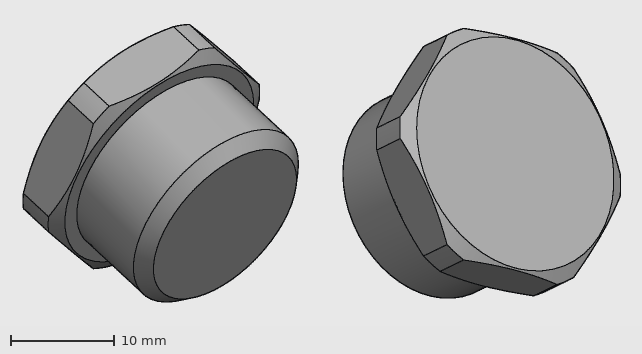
import cadquery as cq
import math

across_flats = 24.0
corner_diameter = 26.5
head_thickness = 5.48
face_diameter = 23.65
head_chamfer_angle = 30.0

total_length = 15.5
plug_diameter = 20.7
plug_chamfer = 1.38


def make_head():
    """Hexagon with flats on +Z and -Z, turned to rounded and chamfered corners."""
    sharp_corner_diameter = across_flats / math.cos(math.radians(30))
    hexagon = cq.Workplane("YZ").polygon(6, sharp_corner_diameter).extrude(head_thickness)

    corner_radius = corner_diameter / 2
    face_radius = face_diameter / 2
    chamfer_length = (corner_radius - face_radius) * math.tan(math.radians(head_chamfer_angle))
    turned_blank = (
        cq.Workplane("XY")
        .polyline([
            (0, 0),
            (0, face_radius),
            (chamfer_length, corner_radius),
            (head_thickness - chamfer_length, corner_radius),
            (head_thickness, face_radius),
            (head_thickness, 0),
        ])
        .close()
        .revolve(360, (0, 0, 0), (1, 0, 0))
    )
    return hexagon.intersect(turned_blank)


def make_plug():
    """Solid cylinder with a chamfered free end."""
    return (
        cq.Workplane("YZ")
        .workplane(offset=head_thickness)
        .circle(plug_diameter / 2)
        .extrude(total_length - head_thickness)
        .faces(">X")
        .chamfer(plug_chamfer)
    )


result = make_head().union(make_plug())